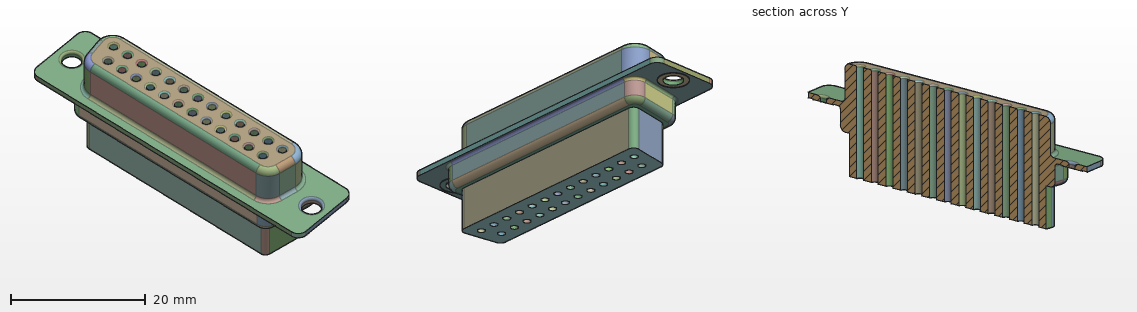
import cadquery as cq
import math

flange_length = 52.8
flange_width = 12.2
flange_thickness = 0.9
flange_corner_radius = 1.5
mount_hole_spacing = 47.04
mount_hole_diameter = 3.05
mount_mouth_radius = 0.4
mount_collar_diameter = 4.8
mount_collar_height = 0.1

side_slant = math.radians(10)
total_height = 17.8

shroud_length = 38.96
shroud_width = 8.36
shroud_height = 6.2
shroud_corner_radius = 2.7
shroud_top_radius = 1.0
shroud_root_radius = 0.55

rear_shell_length = 41.3
rear_shell_width = 10.7
rear_shell_height = 3.9
rear_shell_corner_radius = 2.0
rear_shell_bottom_radius = 1.0
rear_shell_root_radius = 0.4

base_length = 37.65
base_width = 7.5
base_corner_radius = 1.0

contact_pitch = 2.76
row_spacing = 2.84
long_row_count = 13
short_row_count = long_row_count - 1
contact_hole_diameter = 1.2
contact_mouth_radius = 0.25

selection_margin = 0.05

shroud_top = shroud_height
flange_bottom = -flange_thickness
rear_shell_bottom = flange_bottom - rear_shell_height
base_bottom = shroud_top - total_height


def d_prism(length, width, corner_radius, z_low, z_high):
    """Extrude a trapezoid with rounded corners, wide along +Y, between two heights."""
    corner_center_x = length / 2 - corner_radius
    side_at_center = corner_center_x + corner_radius / math.cos(side_slant)
    wide_half = side_at_center + corner_radius * math.tan(side_slant)
    narrow_half = wide_half - width * math.tan(side_slant)
    corners = [
        (-wide_half, width / 2),
        (wide_half, width / 2),
        (narrow_half, -width / 2),
        (-narrow_half, -width / 2),
    ]
    outline = cq.Workplane("XY").workplane(offset=z_low).polyline(corners).close()
    return outline.extrude(z_high - z_low).edges("|Z").fillet(corner_radius)


def make_flange():
    flange = cq.Workplane("XY").workplane(offset=flange_bottom)
    flange = flange.rect(flange_length, flange_width).extrude(flange_thickness)
    return flange.edges("|Z").fillet(flange_corner_radius)


def make_shroud():
    shroud = d_prism(shroud_length, shroud_width, shroud_corner_radius, flange_bottom, shroud_top)
    return shroud.faces(">Z").edges().fillet(shroud_top_radius)


def make_rear_shell():
    shell = d_prism(rear_shell_length, rear_shell_width, rear_shell_corner_radius, rear_shell_bottom, 0)
    return shell.faces("<Z").edges().fillet(rear_shell_bottom_radius)


def make_base():
    return d_prism(base_length, base_width, base_corner_radius, base_bottom, 0)


def root_edges(body, z_level):
    """Select the outline where a D-shaped section meets the flange face at the given height."""
    x_limit = mount_hole_spacing / 2
    y_limit = flange_width / 2 - selection_margin
    lower_corner = (-x_limit, -y_limit, z_level - selection_margin)
    upper_corner = (x_limit, y_limit, z_level + selection_margin)
    return body.edges(cq.selectors.BoxSelector(lower_corner, upper_corner, boundingbox=True))


def rounded_mouth_cutter(hole_diameter, mouth_radius, z_top):
    """Solid that cuts a hole down from z_top, its mouth flaring outward along a quarter round."""
    hole_radius = hole_diameter / 2
    rim_radius = hole_radius + mouth_radius
    diagonal = mouth_radius * math.sqrt(0.5)
    profile = (
        cq.Workplane("XZ")
        .moveTo(0, z_top)
        .lineTo(rim_radius, z_top)
        .threePointArc(
            (rim_radius - diagonal, z_top - mouth_radius + diagonal),
            (hole_radius, z_top - mouth_radius),
        )
        .lineTo(hole_radius, z_top - total_height)
        .lineTo(0, z_top - total_height)
        .close()
    )
    return profile.revolve(360, (0, 0, 0), (0, 1, 0)).val()


def make_mount_collars(centers):
    """Low rings around the mounting holes on the underside of the flange."""
    collars = cq.Workplane("XY").workplane(offset=flange_bottom - mount_collar_height).pushPoints(centers)
    return collars.circle(mount_collar_diameter / 2).extrude(mount_collar_height)


def cut_holes(body, centers, cutter):
    return body.cut(cq.Workplane("XY").pushPoints(centers).eachpoint(cutter))


def hole_row(count, pitch, y):
    """Centers of evenly spaced holes along X, symmetric about X = 0."""
    return [((i - (count - 1) / 2) * pitch, y) for i in range(count)]


body = make_flange().union(make_shroud()).union(make_rear_shell()).union(make_base())
body = root_edges(body, 0).fillet(shroud_root_radius)
body = root_edges(body, flange_bottom).fillet(rear_shell_root_radius)

mount_centers = hole_row(2, mount_hole_spacing, 0)
body = body.union(make_mount_collars(mount_centers))
mount_cutter = rounded_mouth_cutter(mount_hole_diameter, mount_mouth_radius, 0)
body = cut_holes(body, mount_centers, mount_cutter)

contact_cutter = rounded_mouth_cutter(contact_hole_diameter, contact_mouth_radius, shroud_top)
body = cut_holes(body, hole_row(long_row_count, contact_pitch, row_spacing / 2), contact_cutter)
result = cut_holes(body, hole_row(short_row_count, contact_pitch, -row_spacing / 2), contact_cutter)